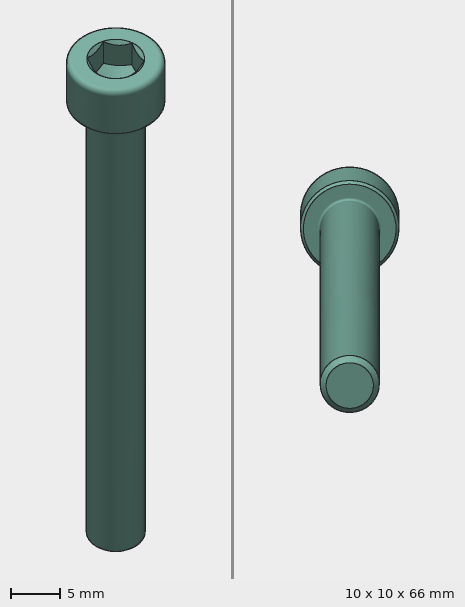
import cadquery as cq
import math

thread_diameter = 6.0
shank_length = 60.0
thread_length = 24.0
tip_chamfer = 0.6
neck_fillet = 0.25

head_diameter = 10.0
head_height = 6.0
head_top_fillet = 0.6
head_bottom_chamfer = 0.3

hex_sides = 6
hex_across_flats = 5.0
hex_depth = 3.0
mouth_angle = 45.0
mouth_diameter = 5.85
floor_angle = 30.0
floor_flat_radius = 0.4

shank_radius = thread_diameter / 2
head_radius = head_diameter / 2
hex_corner_radius = hex_across_flats / math.sqrt(3)
DIAGONAL = math.sqrt(0.5)


def spin(profile):
    """Revolve an XZ half profile a full turn about the Z axis."""
    return profile.revolve(360, (0, 0, 0), (0, 1, 0), clean=False)


def make_body():
    """Revolve the half profile of head and shank about the Z axis."""
    neck_radius = shank_radius + neck_fillet
    neck_mid_x = neck_radius - neck_fillet * DIAGONAL
    neck_mid_z = -neck_fillet + neck_fillet * DIAGONAL
    rim_center_x = head_radius - head_top_fillet
    rim_center_z = head_height - head_top_fillet
    rim_mid_offset = head_top_fillet * DIAGONAL
    profile = (
        cq.Workplane("XZ")
        .moveTo(0, -shank_length)
        .lineTo(shank_radius - tip_chamfer, -shank_length)
        .lineTo(shank_radius, -shank_length + tip_chamfer)
        .lineTo(shank_radius, -shank_length + thread_length)
        .lineTo(shank_radius, -neck_fillet)
        .threePointArc((neck_mid_x, neck_mid_z), (neck_radius, 0))
        .lineTo(head_radius - head_bottom_chamfer, 0)
        .lineTo(head_radius, head_bottom_chamfer)
        .lineTo(head_radius, rim_center_z)
        .threePointArc(
            (rim_center_x + rim_mid_offset, rim_center_z + rim_mid_offset),
            (rim_center_x, head_height),
        )
        .lineTo(0, head_height)
        .close()
    )
    return spin(profile)


def make_socket():
    """Hexagonal socket with a countersunk mouth and a conical floor."""
    floor_z = head_height - hex_depth
    floor_slope = math.tan(math.radians(floor_angle))
    floor_drop = (hex_corner_radius - floor_flat_radius) * floor_slope
    bottom_z = floor_z - floor_drop
    hexagon = (
        cq.Workplane("XY")
        .workplane(offset=bottom_z)
        .polygon(hex_sides, 2 * hex_corner_radius)
        .extrude(head_height - bottom_z)
    )
    envelope_radius = head_radius
    envelope_rise = (envelope_radius - hex_corner_radius) * floor_slope
    floor_profile = (
        cq.Workplane("XZ")
        .moveTo(0, bottom_z)
        .lineTo(floor_flat_radius, bottom_z)
        .lineTo(envelope_radius, floor_z + envelope_rise)
        .lineTo(envelope_radius, head_height)
        .lineTo(0, head_height)
        .close()
    )
    mouth_radius = mouth_diameter / 2
    mouth_depth = mouth_radius * math.tan(math.radians(mouth_angle))
    mouth_profile = (
        cq.Workplane("XZ")
        .moveTo(0, head_height - mouth_depth)
        .lineTo(mouth_radius, head_height)
        .lineTo(0, head_height)
        .close()
    )
    return hexagon.intersect(spin(floor_profile)).union(spin(mouth_profile))


result = make_body().cut(make_socket(), clean=False)